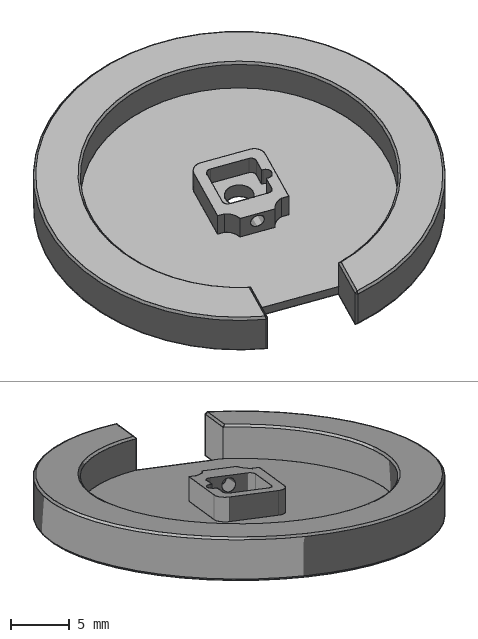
import cadquery as cq

outer_radius = 17.5
inner_radius = 13.5
height = 3.9
floor_thickness = 0.9
edge_chamfer = 0.2

opening_width = 8.0
opening_start = (inner_radius**2 - (opening_width / 2) ** 2) ** 0.5

boss_half = 3.25
boss_height = 2.2
boss_corner_radius = 1.0
nose_length = 1.0
nose_half_width = 1.6
nose_blend_radius = 1.5
boss_top = floor_thickness + boss_height

pocket_size = 4.5
pocket_depth = 1.7
pocket_corner_radius = 0.5
notch_width = 1.1
notch_reach = 2.95

center_hole_diameter = 2.5
side_hole_diameter = 1.25
side_hole_height = boss_top - pocket_depth / 2


def make_dish():
    """Round dish opened on the +X side, with its rim, bottom and outer opening corners chamfered."""
    disc = cq.Workplane("XY").circle(outer_radius).extrude(height)
    recess = (
        cq.Workplane("XY")
        .workplane(offset=floor_thickness)
        .circle(inner_radius)
        .extrude(height)
    )
    opening = cq.Workplane("XY").box(
        outer_radius, opening_width, height, centered=(False, True, False)
    )
    opening = opening.translate((opening_start, 0, 0))
    dish = disc.cut(recess).cut(opening)
    rim_top_edges = dish.faces(">Z").edges()
    bottom_round_edge = dish.faces("<Z").edges("%CIRCLE")
    opening_corner_edges = dish.edges("|Z and >X")
    return rim_top_edges.add(bottom_round_edge).add(opening_corner_edges).chamfer(edge_chamfer)


def make_boss():
    """Square boss with rounded -X corners and a nose blended into its +X side."""
    nose_tip = boss_half + nose_length
    blend_end = nose_half_width + nose_length
    return (
        cq.Workplane("XY")
        .moveTo(-boss_half, -boss_half)
        .lineTo(boss_half, -boss_half)
        .lineTo(boss_half, -blend_end)
        .radiusArc((nose_tip, -nose_half_width), nose_blend_radius)
        .lineTo(nose_tip, nose_half_width)
        .radiusArc((boss_half, blend_end), nose_blend_radius)
        .lineTo(boss_half, boss_half)
        .lineTo(-boss_half, boss_half)
        .close()
        .extrude(boss_top)
        .edges("|Z and <X")
        .fillet(boss_corner_radius)
    )


def make_pocket():
    """Rounded square pocket with its key notch, sunk from the boss top."""
    pocket_floor = cq.Workplane("XY").workplane(offset=boss_top - pocket_depth)
    square = (
        pocket_floor.rect(pocket_size, pocket_size)
        .extrude(pocket_depth)
        .edges("|Z")
        .fillet(pocket_corner_radius)
    )
    notch = pocket_floor.slot2D(2 * notch_reach, notch_width, 90).extrude(pocket_depth)
    keep_positive_y = cq.Workplane("XY").box(
        notch_width, notch_reach, boss_top, centered=(True, False, False)
    )
    return square.union(notch.intersect(keep_positive_y))


def make_center_hole():
    """Vertical hole through the floor."""
    return cq.Workplane("XY").circle(center_hole_diameter / 2).extrude(boss_top)


def make_side_hole():
    """Hole along X from the pocket out through the nose."""
    return (
        cq.Workplane("YZ")
        .center(0, side_hole_height)
        .circle(side_hole_diameter / 2)
        .extrude(boss_half + nose_length)
    )


result = make_dish().union(make_boss())
result = result.cut(make_pocket()).cut(make_center_hole()).cut(make_side_hole())